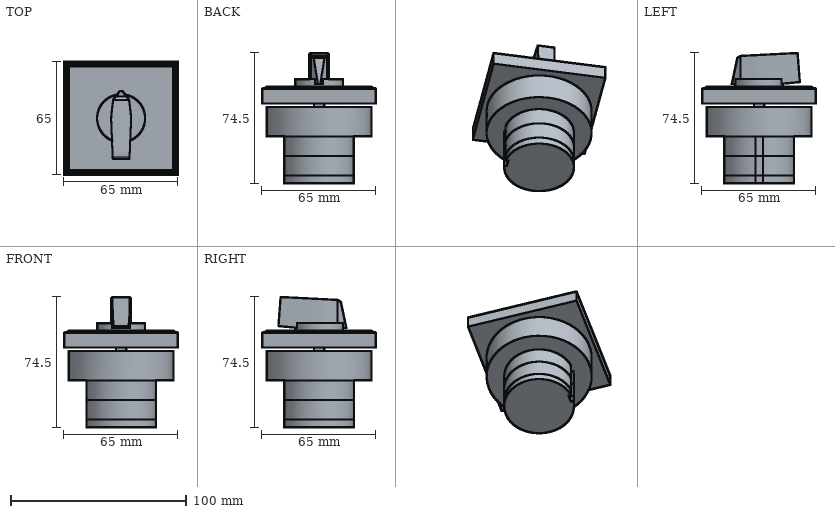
import cadquery as cq

block_radius = 20.0
end_disc_height = 4.7
contact_disc_height = 11.1
slot_width = 4.2
slot_depth = 1.7

body_radius = 30.0
body_height = 16.9
shaft_width = 5.95
shaft_gap = 1.85

bezel_width = 65.0
bezel_height = 8.95
label_width = 61.1
label_height = 0.75
rim_chamfer_inset = 0.9
rim_chamfer_drop = 0.5

knob_base_radius = 13.7
knob_base_height = 4.25
knob_top_z = 74.5

tip_y = 15.65
tip_half_width = 0.7
shoulder_y = 10.6
shoulder_half_width = 4.55
waist_y = 0.5
waist_half_width = 5.7
waist_radius = 29.05
kink_y = -12.6
kink_half_width = 5.2
tail_y = -23.3
tail_half_width = 4.8
tail_corner_radius = 0.8

handle_underside_z = 56.7
underside_bend_y = -10.8
tail_bottom_z = 57.9
tail_top_y = -22.05
tail_edge_radius = 0.6
crest_y = -19.75
brow_z = 72.9
nose_y = 12.5
nose_z = 71.7

contact_disc_z = end_disc_height
upper_disc_z = contact_disc_z + contact_disc_height
body_z = upper_disc_z + contact_disc_height
shaft_z = body_z + body_height
bezel_z = shaft_z + shaft_gap
label_z = bezel_z + bezel_height
knob_z = label_z + label_height


def make_block_disc(bottom_z, height):
    """Round disc of the contact block with an alignment slot on its -X side."""
    disc = cq.Workplane("XY", origin=(0, 0, bottom_z)).circle(block_radius).extrude(height)
    slot = (
        cq.Workplane("XY", origin=(-block_radius, 0, bottom_z))
        .rect(2 * slot_depth, slot_width)
        .extrude(height)
    )
    return disc.cut(slot)


def make_rimmed_plate(bottom_z, width, height):
    """Square plate with a shallow chamfer round its top edge."""
    side_height = height - rim_chamfer_drop
    top_width = width - 2 * rim_chamfer_inset
    sides = cq.Workplane("XY", origin=(0, 0, bottom_z)).rect(width, width).extrude(side_height)
    rim = (
        cq.Workplane("XY", origin=(0, 0, bottom_z + side_height))
        .rect(width, width)
        .workplane(offset=rim_chamfer_drop)
        .rect(top_width, top_width)
        .loft(ruled=True)
    )
    return sides.union(rim)


def make_handle():
    """Pointer handle: its plan outline trimmed to its side profile."""
    right_side = [
        (tip_half_width, tip_y),
        (shoulder_half_width, shoulder_y),
        (waist_half_width, waist_y),
        (kink_half_width, kink_y),
        (tail_half_width, tail_y),
    ]
    left_side = [(-x, y) for x, y in reversed(right_side)]
    waist_edges = [
        cq.selectors.NearestToPointSelector((x, waist_y, knob_top_z / 2))
        for x in (-waist_half_width, waist_half_width)
    ]
    plan = (
        cq.Workplane("XY")
        .polyline(right_side + left_side)
        .close()
        .extrude(knob_top_z)
        .edges("|Z and <Y")
        .fillet(tail_corner_radius)
        .edges(waist_edges[0] + waist_edges[1])
        .fillet(waist_radius)
    )
    side = (
        cq.Workplane("YZ")
        .polyline([
            (tip_y, handle_underside_z),
            (nose_y, nose_z),
            (shoulder_y, brow_z),
            (crest_y, knob_top_z),
            (tail_top_y, knob_top_z),
            (tail_y, tail_bottom_z),
            (underside_bend_y, handle_underside_z),
        ])
        .close()
        .extrude(waist_half_width, both=True)
        .edges(cq.selectors.NearestToPointSelector((0, tail_top_y, knob_top_z)))
        .fillet(tail_edge_radius)
    )
    return plan.intersect(side)


def make_knob():
    """Round knob base and its pointer handle as one body."""
    base = cq.Workplane("XY", origin=(0, 0, knob_z)).circle(knob_base_radius).extrude(knob_base_height)
    return base.union(make_handle())


end_disc = make_block_disc(0, end_disc_height)
contact_discs = [make_block_disc(z, contact_disc_height) for z in (contact_disc_z, upper_disc_z)]
mounting_body = cq.Workplane("XY", origin=(0, 0, body_z)).circle(body_radius).extrude(body_height)
shaft = cq.Workplane("XY", origin=(0, 0, shaft_z)).rect(shaft_width, shaft_width).extrude(shaft_gap)
bezel = make_rimmed_plate(bezel_z, bezel_width, bezel_height)
label_plate = make_rimmed_plate(label_z, label_width, label_height)
knob = make_knob()

result = cq.Compound.makeCompound([
    end_disc.val(),
    *[disc.val() for disc in contact_discs],
    mounting_body.val(),
    shaft.val(),
    bezel.val(),
    label_plate.val(),
    knob.val(),
])